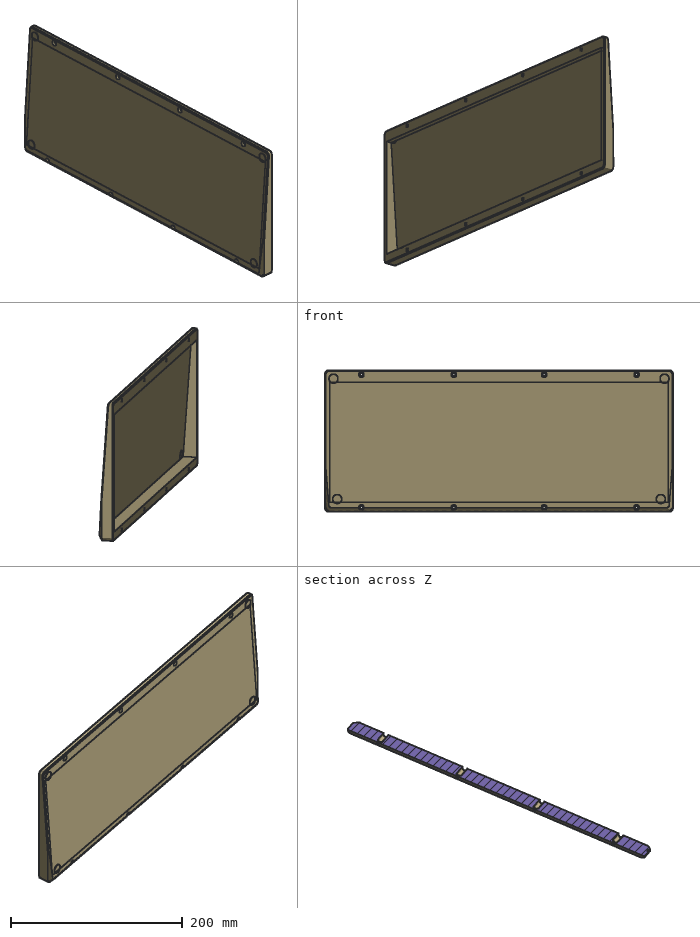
import cadquery as cq
import math

WIDTH = 405.0
HEIGHT = 165.0
MAX_DEPTH = 17.72
TOP_DEPTH = 6.6
CORNER_RADIUS = 5.0

BEVEL_INSET = 4.8
BEVEL_DEPTH = 4.2
EDGE_CHAMFER = 1.2

FLOOR_THICKNESS = 1.0
SIDE_WALL = 5.5
BOTTOM_RIM = 11.0
TOP_RIM = 14.0

SCREW_X = (-160.0, -52.5, 52.5, 160.0)
SCREW_EDGE_OFFSET = 5.3
SCREW_DIAMETER = 3.4
HEAD_DIAMETER = 6.0
HEAD_FLOOR_DEPTH = 3.5

FOOT_DIAMETER = 10.5
FOOT_RECESS_DEPTH = 0.5
UPPER_FOOT_X = 192.5
UPPER_FOOT_Z = HEIGHT - 10.0
LOWER_FOOT_X = 188.2
LOWER_FOOT_Z = 15.0

SLOPE = (MAX_DEPTH - TOP_DEPTH) / (HEIGHT - BEVEL_INSET)
SLOPE_ANGLE = math.atan(SLOPE)


def depth_at(z):
    """Depth of the sloped face, measured from the back, at height z."""
    return TOP_DEPTH + SLOPE * (HEIGHT - z)


def upright_plate(depth):
    """Sharp-cornered plate reaching from the back to -depth."""
    return cq.Workplane("XZ").center(0, HEIGHT / 2).rect(WIDTH, HEIGHT).extrude(depth)


def make_beveled_block():
    """Straight block tapering in at the deep end, with rounded corners and a chamfered back."""
    plate = upright_plate(MAX_DEPTH - BEVEL_DEPTH)
    taper_angle = math.degrees(math.atan(BEVEL_INSET / BEVEL_DEPTH))
    block = plate.faces("<Y").wires().toPending().workplane().extrude(BEVEL_DEPTH, taper=taper_angle)
    block = block.edges("not(#Y)").fillet(CORNER_RADIUS)
    return block.faces(">Y").chamfer(EDGE_CHAMFER)


def make_sloped_block():
    """Rounded plate cut to the slope, whose sloped face has a small chamfer all the way round."""
    profile = [(0, 0), (-depth_at(0), 0), (-TOP_DEPTH, HEIGHT), (0, HEIGHT)]
    wedge = cq.Workplane("YZ").polyline(profile).close().extrude(WIDTH / 2, both=True)
    rounded_plate = upright_plate(depth_at(0)).edges("|Y").fillet(CORNER_RADIUS)
    return wedge.intersect(rounded_plate).faces("<Y").chamfer(EDGE_CHAMFER)


def cut_pocket(body):
    """Hollow the body from the back, with a floor parallel to the sloped face."""
    floor_offset = FLOOR_THICKNESS / math.cos(SLOPE_ANGLE)
    low = BOTTOM_RIM
    high = HEIGHT - TOP_RIM
    low_floor = floor_offset - depth_at(low)
    high_floor = floor_offset - depth_at(high)
    profile = [(0, low), (low_floor, low), (high_floor, high), (0, high)]
    pocket = cq.Workplane("YZ").polyline(profile).close().extrude(WIDTH / 2 - SIDE_WALL, both=True)
    return body.cut(pocket)


def bore(x, z, diameter, start_depth):
    """Cylinder along -Y, from start_depth out past the sloped face."""
    start = cq.Vector(x, -start_depth, z)
    return cq.Solid.makeCylinder(diameter / 2, MAX_DEPTH, start, cq.Vector(0, -1, 0))


def foot_recess(x, z):
    """Disc sunk square into the sloped face."""
    outward = cq.Vector(0, -math.cos(SLOPE_ANGLE), math.sin(SLOPE_ANGLE))
    floor = cq.Vector(x, -depth_at(z), z) - outward * FOOT_RECESS_DEPTH
    return cq.Solid.makeCylinder(FOOT_DIAMETER / 2, 2 * FOOT_RECESS_DEPTH, floor, outward)


def cut_screw_holes(body):
    """Through holes along the top and bottom rims, each with a counterbore for the head."""
    for z in (SCREW_EDGE_OFFSET, HEIGHT - SCREW_EDGE_OFFSET):
        for x in SCREW_X:
            body = body.cut(cq.Workplane(bore(x, z, SCREW_DIAMETER, 0)))
            body = body.cut(cq.Workplane(bore(x, z, HEAD_DIAMETER, HEAD_FLOOR_DEPTH)))
    return body


def cut_foot_recesses(body):
    """Mirrored pairs of foot recesses; the lower pair sits closer together."""
    for x, z in ((UPPER_FOOT_X, UPPER_FOOT_Z), (LOWER_FOOT_X, LOWER_FOOT_Z)):
        for side in (-1, 1):
            body = body.cut(cq.Workplane(foot_recess(side * x, z)))
    return body


body = make_beveled_block().intersect(make_sloped_block())
body = cut_pocket(body)
body = cut_screw_holes(body)
result = cut_foot_recesses(body).solids()